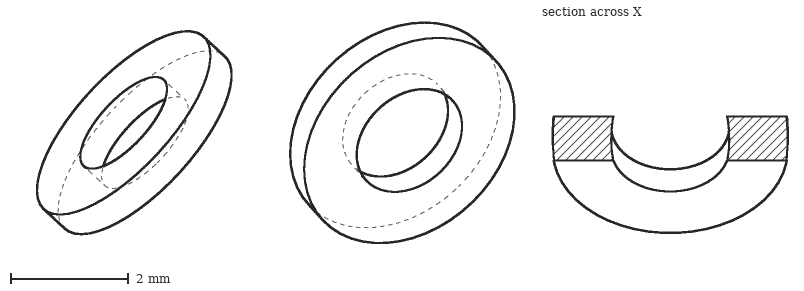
import cadquery as cq

outer_diameter = 3.99
hole_diameter = 1.995
thickness = 0.535

washer_plane = cq.Plane(origin=(0, 0, 0), xDir=(1, 0, 1), normal=(-1, 0, 1))

result = (
    cq.Workplane(washer_plane)
    .circle(outer_diameter / 2)
    .circle(hole_diameter / 2)
    .extrude(thickness)
)